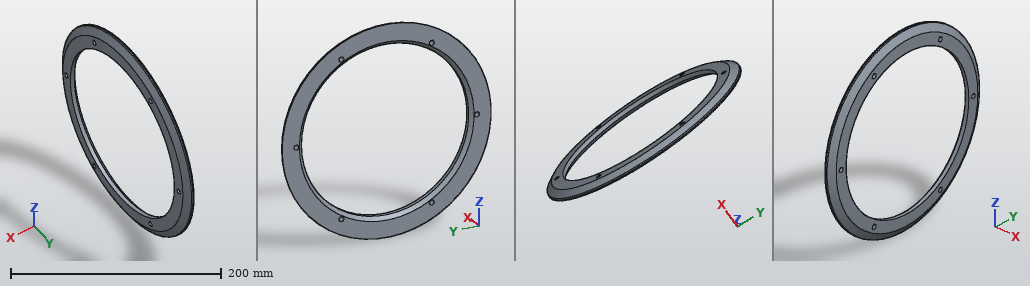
import cadquery as cq

thickness = 8.0
rim_land = 1.3
rim_end = 2.6
cone_end = 7.3
shoulder_x = 7.5
throat_x = 3.5

outer_diameter = 220
rim_end_diameter = 219.1
cone_end_diameter = 203.3
shoulder_diameter = 200.2
crest_diameter = 179.7
throat_diameter = 176
mouth_diameter = 184.0

hole_count = 6
hole_diameter = 5.0
hole_circle_diameter = 190.0


def ring_body():
    """Revolve the ring's radial section about the X axis."""
    section = [
        (0, mouth_diameter / 2),
        (0, outer_diameter / 2),
        (rim_land, outer_diameter / 2),
        (rim_end, rim_end_diameter / 2),
        (cone_end, cone_end_diameter / 2),
        (shoulder_x, shoulder_diameter / 2),
        (thickness, crest_diameter / 2),
        (thickness, throat_diameter / 2),
        (throat_x, throat_diameter / 2),
    ]
    return cq.Workplane("XY").polyline(section).close().revolve(360, (0, 0, 0), (1, 0, 0))


def mounting_holes():
    """Through holes equally spaced around the flange, starting on the Y axis."""
    return (
        cq.Workplane("YZ")
        .polarArray(hole_circle_diameter / 2, 0, 360, hole_count)
        .circle(hole_diameter / 2)
        .extrude(thickness)
    )


result = ring_body().cut(mounting_holes())